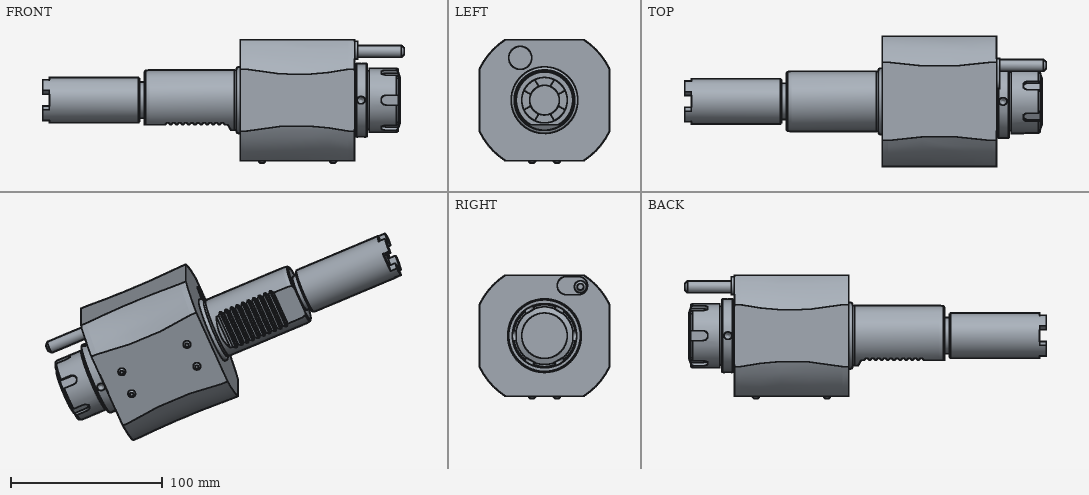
import cadquery as cq
import math


overall_length = 238.59

housing_length = 75.5
housing_width = 86.0
housing_height = 80.0
barrel_radius = 47.6
barrel_waist_radius = 46.2
barrel_land = 4.0

shank_radius = 20.0
shank_length = 63.2
shank_chamfer_length = 0.8
shank_chamfer_radius = 19.6
shank_end_radius = 18.6
shank_lead_in_length = 3.3
seat_relief_start = -4.0
seat_relief_radius = 19.8
collar_radius = 22.0
collar_length = 2.6
collar_fillet = 1.8
rack_flat_z = -16.3
rack_flat_end = -8.2
rack_runout_angle = 60.0
rack_pitch = 4.0
rack_valley_count = 10
rack_last_valley = -11.8
rack_depth = 1.4
rack_mouth = 3.6
rack_floor = 0.9

shaft_tip = -130.3
shaft_radius = 15.0
shaft_front = -66.3
shaft_chamfer = 1.0
neck_radius = 12.0
claw_count = 4
claw_length = 4.5
claw_bore_radius = 9.8
claw_bore_depth = 5.2
claw_slot_inner_half = 3.8
claw_slot_outer_half = 6.4

ring_radius = 24.3
ring_gap = 0.7
ring_end = housing_length + 8.4
ring_chamfer = 0.7
spanner_hole_radius = 2.6
spanner_hole_x = housing_length + 4.2
spanner_hole_count = 4
groove_radius = 19.5
groove_length = 1.2
nut_radius = 21.2
nut_end = housing_length + 30.0
nut_cone_length = 1.4
nut_cone_radius = 19.0
nut_face_radius = 15.0
nut_chamfer_length = 1.2
nut_chamfer_radius = 20.4
nut_slot_count = 6
nut_slot_width = 6.4
nut_slot_length = 12.6
nut_slot_floor = 18.6

pin_y = 23.7
pin_z = 32.2
pin_radius = 4.0
pin_end = shaft_tip + overall_length
pin_chamfer = 1.9
plate_y = 18.4
plate_z = 33.0
plate_length = 20.0
plate_width = 12.0
plate_thickness = 2.1

recess_y = 16.0
recess_z = 27.9
recess_radius = 7.6
recess_depth = 1.0
stud_height = 1.6
stud_base_radius = 2.5
stud_tip_radius = 1.2
stud_x_positions = (14.4, 61.3)
stud_y = 8.2

overlap = 1.0


def revolve_about_x(profile):
    """Turn a profile drawn in the XY plane about the X axis."""
    return profile.close().revolve(360, (0, 0, 0), (1, 0, 0))


def cylinder_x(x_start, x_end, radius, y=0.0, z=0.0):
    """Cylinder parallel to X between two x positions."""
    plane = cq.Workplane("YZ", origin=(x_start, y, z))
    return plane.circle(radius).extrude(x_end - x_start)


def make_housing():
    barrel = revolve_about_x(
        cq.Workplane("XY")
        .lineTo(0, -barrel_radius)
        .lineTo(barrel_land, -barrel_radius)
        .threePointArc(
            (housing_length / 2, -barrel_waist_radius),
            (housing_length - barrel_land, -barrel_radius),
        )
        .lineTo(housing_length, -barrel_radius)
        .lineTo(housing_length, 0)
    )
    block = cq.Workplane("XY").box(housing_length, housing_width, housing_height)
    housing = barrel.intersect(block.translate((housing_length / 2, 0, 0)))
    return housing.cut(cylinder_x(0, recess_depth, recess_radius, recess_y, recess_z))


def rack_valley(x_center):
    """Trapezoidal groove across the rack flat."""
    valley = (
        cq.Workplane("XZ")
        .moveTo(x_center - rack_mouth / 2, rack_flat_z)
        .lineTo(x_center - rack_floor / 2, rack_flat_z + rack_depth)
        .lineTo(x_center + rack_floor / 2, rack_flat_z + rack_depth)
        .lineTo(x_center + rack_mouth / 2, rack_flat_z)
        .close()
    )
    return valley.extrude(shank_radius, both=True)


def make_shank():
    shank = revolve_about_x(
        cq.Workplane("XY")
        .moveTo(-shank_length, 0)
        .lineTo(-shank_length, -shank_end_radius)
        .lineTo(-shank_length + shank_chamfer_length, -shank_chamfer_radius)
        .lineTo(-shank_length + shank_lead_in_length, -shank_radius)
        .lineTo(seat_relief_start, -shank_radius)
        .lineTo(seat_relief_start, -seat_relief_radius)
        .lineTo(overlap, -seat_relief_radius)
        .lineTo(overlap, 0)
    )
    drop = shank_radius + rack_flat_z
    runout_length = drop / math.tan(math.radians(rack_runout_angle))
    flat = (
        cq.Workplane("XZ")
        .moveTo(-shank_length, rack_flat_z)
        .lineTo(rack_flat_end, rack_flat_z)
        .lineTo(rack_flat_end + runout_length, -shank_radius)
        .lineTo(-shank_length, -shank_radius)
        .close()
        .extrude(shank_radius, both=True)
    )
    shank = shank.cut(flat)
    for index in range(rack_valley_count):
        shank = shank.cut(rack_valley(rack_last_valley - index * rack_pitch))
    collar = cylinder_x(-collar_length, overlap, collar_radius)
    return shank.union(collar.faces("<X").fillet(collar_fillet))


def claw_slot():
    """Slot toward +Z between two claws, widening outward from the bore."""
    inner_z = math.sqrt(claw_bore_radius**2 - claw_slot_inner_half**2)
    outer_z = math.sqrt(shaft_radius**2 - claw_slot_outer_half**2)
    flare = (claw_slot_outer_half - claw_slot_inner_half) / (outer_z - inner_z)
    start_z = claw_bore_radius - overlap
    end_z = shaft_radius + overlap
    start_half = claw_slot_inner_half + flare * (start_z - inner_z)
    end_half = claw_slot_inner_half + flare * (end_z - inner_z)
    return (
        cq.Workplane("YZ", origin=(shaft_tip, 0, 0))
        .moveTo(-start_half, start_z)
        .lineTo(start_half, start_z)
        .lineTo(end_half, end_z)
        .lineTo(-end_half, end_z)
        .close()
        .extrude(claw_length)
    )


def make_drive_shaft():
    shaft = cylinder_x(shaft_tip, shaft_front, shaft_radius)
    shaft = shaft.faces(">X").chamfer(shaft_chamfer)
    shaft = shaft.cut(cylinder_x(shaft_tip, shaft_tip + claw_bore_depth, claw_bore_radius))
    for index in range(claw_count):
        angle = index * 360 / claw_count
        shaft = shaft.cut(claw_slot().rotate((0, 0, 0), (1, 0, 0), angle))
    neck = cylinder_x(shaft_front - overlap, -shank_length + overlap, neck_radius)
    return shaft.union(neck)


def make_bearing_ring():
    """Ring on a neck, with conical spanner holes around it."""
    ring = cylinder_x(housing_length + ring_gap, ring_end, ring_radius)
    ring = ring.faces("<X or >X").chamfer(ring_chamfer)
    ring = ring.union(cylinder_x(housing_length - overlap, ring_end, groove_radius))
    hole = cq.Workplane(
        cq.Solid.makeCone(
            spanner_hole_radius,
            0,
            spanner_hole_radius,
            cq.Vector(spanner_hole_x, 0, ring_radius),
            cq.Vector(0, 0, -1),
        )
    )
    for index in range(spanner_hole_count):
        angle = index * 360 / spanner_hole_count
        ring = ring.cut(hole.rotate((0, 0, 0), (1, 0, 0), angle))
    return ring


def nut_slot():
    """Round-ended wrench slot on the -Y side, open at the nut's front face."""
    end_radius = nut_slot_width / 2
    round_center = nut_end - nut_slot_length + end_radius
    slot_depth = nut_radius + overlap - nut_slot_floor
    return (
        cq.Workplane("XZ", origin=(0, -nut_slot_floor, 0))
        .moveTo(nut_end, end_radius)
        .lineTo(round_center, end_radius)
        .threePointArc((round_center - end_radius, 0), (round_center, -end_radius))
        .lineTo(nut_end, -end_radius)
        .close()
        .extrude(slot_depth)
    )


def make_nut():
    cone_start = nut_end - nut_cone_length
    nut = revolve_about_x(
        cq.Workplane("XY")
        .moveTo(ring_end - overlap, 0)
        .lineTo(ring_end - overlap, -groove_radius)
        .lineTo(ring_end + groove_length, -groove_radius)
        .lineTo(ring_end + groove_length, -nut_radius)
        .lineTo(cone_start - nut_chamfer_length, -nut_radius)
        .lineTo(cone_start, -nut_chamfer_radius)
        .lineTo(cone_start, -nut_cone_radius)
        .lineTo(nut_end, -nut_face_radius)
        .lineTo(nut_end, 0)
    )
    for index in range(nut_slot_count):
        angle = index * 360 / nut_slot_count
        nut = nut.cut(nut_slot().rotate((0, 0, 0), (1, 0, 0), angle))
    return nut


def make_locating_pin():
    pin = cylinder_x(housing_length - overlap, pin_end, pin_radius, pin_y, pin_z)
    pin = pin.faces(">X").chamfer(pin_chamfer)
    plate = (
        cq.Workplane("YZ", origin=(housing_length - overlap, plate_y, plate_z))
        .slot2D(plate_length, plate_width)
        .extrude(plate_thickness + overlap)
    )
    return pin.union(plate)


def make_stud(x, y):
    """Tapered stud standing out of the bottom face."""
    stud = cq.Solid.makeCone(
        stud_base_radius,
        stud_tip_radius,
        stud_height,
        cq.Vector(x, y, -housing_height / 2),
        cq.Vector(0, 0, -1),
    )
    return cq.Workplane(stud)


result = (
    make_housing()
    .union(make_shank())
    .union(make_drive_shaft())
    .union(make_bearing_ring())
    .union(make_nut())
    .union(make_locating_pin())
)
for stud_x in stud_x_positions:
    for side in (-1, 1):
        result = result.union(make_stud(stud_x, side * stud_y))